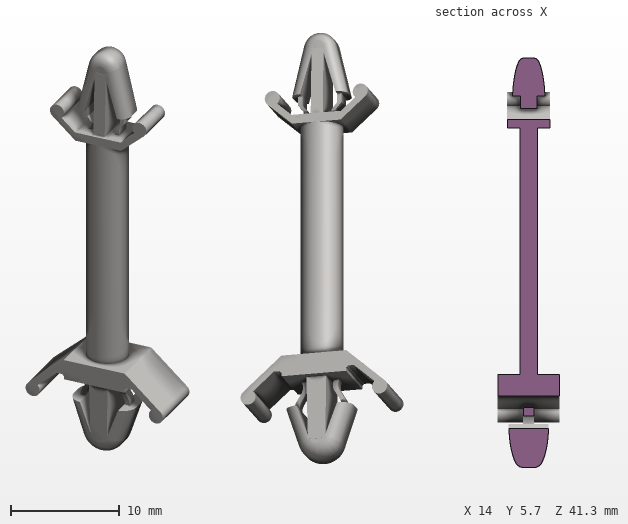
import math

import cadquery as cq

total_height = 41.3
lower_span = 14.0

post_diameter = 4.0
lower_plate_top = 9.65
upper_plate_bottom = 32.3

lower_plate_depth = 5.7
lower_plate_bottom = 7.65
lower_plate_half_width = 3.1
lower_wing_thickness = 0.65
lower_bulb_radius = 0.72
lower_bulb_z = 5.9
relief_roof_z = 8.15
relief_wall_x = 3.07
relief_end_x = 4.3
relief_corner_radius = 0.15

upper_plate_depth = post_diameter
upper_plate_top = 33.15
upper_plate_half_width = 2.32
upper_wing_thickness = 0.62
upper_bulb_radius = 0.72
upper_bulb_x = 4.2
upper_bulb_z = 34.9

lower_nose_radius = 2.1
lower_barb_half_span = 3.2
lower_barb_end_z = 5.05
lower_barb_inner_x = 1.95
lower_head_half_depth = 1.85
upper_nose_radius = 1.55
upper_barb_half_span = 2.66
upper_barb_end_z = 35.25
upper_barb_inner_x = 1.68
upper_head_half_depth = 1.53
barb_flat_half_depth = 0.55
lower_cavity_tip_z = 2.05
upper_cavity_tip_z = 39.1

lower_rib_at_plate = (0.95, 2.0)
lower_rib_at_nose = (0.83, 1.87)
upper_rib_at_plate = (0.58, 1.84)
upper_rib_at_nose = (0.57, 1.55)
lower_rib_tip_z = 1.7
upper_rib_tip_z = 39.6
upper_rib_root_fillet = 0.15

upper_strut_half_depth = 0.8
lower_strut_half_depth = 0.5
upper_strut_thickness = 0.42
upper_strut_barb_x = 1.87
upper_strut_plate_x = 1.36
upper_strut_bend_z = (33.8, 34.4)
lower_strut_thickness = 0.5
lower_strut_barb_x = 2.25
lower_strut_plate_x = 1.6
lower_strut_bend_x = (2.1, 1.47)
lower_strut_bend_z = (5.75, 6.85)

joint_overlap = 0.1


def extrude_along_y(outline, half_depth):
    """Extrude an XZ outline symmetrically about the XZ plane."""
    return outline.extrude(half_depth, both=True)


def with_mirror(body):
    """Join a body with its reflection in the YZ plane."""
    return body.union(body.mirror("YZ"))


def wing(hinge, bulb_center, bulb_radius, thickness, side):
    """Wing on +X whose outer face runs from the hinge tangent to an end bulb.

    The side is +1 when the outer face lies on the upper side, -1 for the lower side.
    """
    run_x = bulb_center[0] - hinge[0]
    run_z = bulb_center[1] - hinge[1]
    reach = math.hypot(run_x, run_z)
    angle = math.atan2(run_z, run_x) + side * math.asin(bulb_radius / reach)
    along_x, along_z = math.cos(angle), math.sin(angle)
    normal_x, normal_z = -side * along_z, side * along_x
    length = math.sqrt(reach * reach - bulb_radius * bulb_radius)
    tangent = (hinge[0] + length * along_x, hinge[1] + length * along_z)
    inset = (-thickness * normal_x, -thickness * normal_z)
    arm = cq.Workplane("XZ").polyline([
        hinge,
        tangent,
        (tangent[0] + inset[0], tangent[1] + inset[1]),
        (hinge[0] + inset[0], hinge[1] + inset[1]),
    ]).close()
    bulb = cq.Workplane("XZ").center(*bulb_center).circle(bulb_radius)
    return arm, bulb


def make_post():
    post_length = upper_plate_bottom - lower_plate_top + 2 * joint_overlap
    post_base = cq.Workplane("XY").workplane(offset=lower_plate_top - joint_overlap)
    return post_base.circle(post_diameter / 2).extrude(post_length)


def winged_plate(half_outline, arm, bulb, depth):
    """Plate from its +X half outline, one wing arm and bulb, mirrored to both sides."""
    half_depth = depth / 2
    half = extrude_along_y(half_outline, half_depth)
    half = half.union(extrude_along_y(arm, half_depth))
    half = half.union(extrude_along_y(bulb, half_depth))
    return with_mirror(half)


def make_lower_plate():
    hinge = (lower_plate_half_width, lower_plate_top)
    bulb_center = (lower_span / 2 - lower_bulb_radius, lower_bulb_z)
    arm, bulb = wing(hinge, bulb_center, lower_bulb_radius, lower_wing_thickness, 1)
    half_outline = (
        cq.Workplane("XZ")
        .moveTo(0, lower_plate_bottom)
        .lineTo(relief_wall_x, lower_plate_bottom)
        .lineTo(relief_wall_x, relief_roof_z - relief_corner_radius)
        .radiusArc((relief_wall_x + relief_corner_radius, relief_roof_z), -relief_corner_radius)
        .lineTo(relief_end_x, relief_roof_z)
        .lineTo(lower_plate_half_width, lower_plate_top)
        .lineTo(0, lower_plate_top)
        .close()
    )
    return winged_plate(half_outline, arm, bulb, lower_plate_depth)


def make_upper_plate():
    hinge = (upper_plate_half_width, upper_plate_bottom)
    bulb_center = (upper_bulb_x, upper_bulb_z)
    arm, bulb = wing(hinge, bulb_center, upper_bulb_radius, upper_wing_thickness, -1)
    half_outline = cq.Workplane("XZ").polyline([
        (0, upper_plate_bottom),
        hinge,
        (upper_plate_half_width, upper_plate_top),
        (0, upper_plate_top),
    ]).close()
    return winged_plate(half_outline, arm, bulb, upper_plate_depth)


def arrowhead(nose_z, up, radius, barb_tip, inner_x, cavity_tip, half_depth):
    """Nose and two barbs; up is +1 for a nose pointing to +Z and -1 for -Z."""
    barb_x, barb_z = barb_tip
    tip_x, tip_z = cavity_tip
    center_z = nose_z - up * radius
    drop = abs(barb_z - center_z)
    reach = math.hypot(barb_x, drop)
    tangent_angle = math.acos(radius / reach) - math.atan2(drop, barb_x)
    tangent_x = radius * math.cos(tangent_angle)
    tangent_z = center_z + up * radius * math.sin(tangent_angle)
    body = extrude_along_y(
        cq.Workplane("XZ")
        .moveTo(-barb_x, barb_z)
        .lineTo(-tangent_x, tangent_z)
        .threePointArc((0, nose_z), (tangent_x, tangent_z))
        .lineTo(barb_x, barb_z)
        .close(),
        half_depth,
    )
    barb_end_edges = "<Z" if up > 0 else ">Z"
    outside_edges = body.faces("|Y").edges("not " + barb_end_edges)
    body = outside_edges.fillet(half_depth - barb_flat_half_depth)
    cavity = cq.Workplane("XZ").polyline([
        (-inner_x, barb_z),
        (-tip_x, tip_z),
        (tip_x, tip_z),
        (inner_x, barb_z),
    ]).close()
    return body.cut(extrude_along_y(cavity, half_depth))


def make_lower_head():
    return arrowhead(
        0, -1, lower_nose_radius, (lower_barb_half_span, lower_barb_end_z), lower_barb_inner_x,
        (lower_rib_at_nose[0], lower_cavity_tip_z), lower_head_half_depth,
    )


def make_upper_head():
    return arrowhead(
        total_height, 1, upper_nose_radius, (upper_barb_half_span, upper_barb_end_z), upper_barb_inner_x,
        (upper_rib_at_nose[0], upper_cavity_tip_z), upper_head_half_depth,
    )


def tapered_rib(plate_z, plate_half_size, nose_z, nose_half_size):
    """Rectangular rib tapering from a plate to a nose, given half sizes along X and Y."""
    return (
        cq.Workplane("XY")
        .workplane(offset=plate_z)
        .rect(2 * plate_half_size[0], 2 * plate_half_size[1])
        .workplane(offset=nose_z - plate_z)
        .rect(2 * nose_half_size[0], 2 * nose_half_size[1])
        .loft(ruled=True)
    )


def make_lower_rib():
    return tapered_rib(lower_plate_bottom, lower_rib_at_plate, lower_rib_tip_z, lower_rib_at_nose)


def make_upper_rib():
    return tapered_rib(upper_plate_top, upper_rib_at_plate, upper_rib_tip_z, upper_rib_at_nose)


def strut_sides(center_line, thickness):
    """Points along the inner side, then back along the outer side, of a strut center line."""
    half_thickness = thickness / 2
    inner_side = [(x - half_thickness, z) for x, z in center_line]
    outer_side = [(x + half_thickness, z) for x, z in reversed(center_line)]
    return inner_side, outer_side


def make_upper_struts():
    """Straight-sided struts that jog outward from the plate to the barb ends."""
    plate_end_z = upper_plate_top - joint_overlap
    barb_end_z = upper_barb_end_z + joint_overlap
    center_line = [
        (upper_strut_plate_x, plate_end_z),
        (upper_strut_plate_x, upper_strut_bend_z[0]),
        (upper_strut_barb_x, upper_strut_bend_z[1]),
        (upper_strut_barb_x, barb_end_z),
    ]
    inner_side, outer_side = strut_sides(center_line, upper_strut_thickness)
    outline = cq.Workplane("XZ").polyline(inner_side + outer_side).close()
    return with_mirror(extrude_along_y(outline, upper_strut_half_depth))


def make_lower_struts():
    """Smoothly curved struts that swing outward from the plate to the barb ends."""
    center_line = [
        (lower_strut_plate_x, lower_plate_bottom + joint_overlap),
        (lower_strut_bend_x[1], lower_strut_bend_z[1]),
        (lower_strut_bend_x[0], lower_strut_bend_z[0]),
        (lower_strut_barb_x, lower_barb_end_z - joint_overlap),
    ]
    inner_side, outer_side = strut_sides(center_line, lower_strut_thickness)
    outline = (
        cq.Workplane("XZ")
        .moveTo(*inner_side[0])
        .spline(inner_side[1:], includeCurrent=True)
        .lineTo(*outer_side[0])
        .spline(outer_side[1:], includeCurrent=True)
        .close()
    )
    return with_mirror(extrude_along_y(outline, lower_strut_half_depth))


def root_fillet_edges():
    """Selector for the concave edges where the upper rib meets its plate."""
    half_x, half_y = upper_rib_at_plate
    margin = joint_overlap / 2
    return cq.selectors.BoxSelector(
        (-half_x - margin, -half_y - margin, upper_plate_top - margin),
        (half_x + margin, half_y + margin, upper_plate_top + margin),
    )


upper_end = make_upper_plate().union(make_upper_rib())
upper_end = upper_end.edges(root_fillet_edges()).fillet(upper_rib_root_fillet)
upper_end = upper_end.union(make_upper_head()).union(make_upper_struts())

lower_end = make_lower_plate().union(make_lower_rib()).union(make_lower_head()).union(make_lower_struts())

result = lower_end.union(make_post()).union(upper_end)